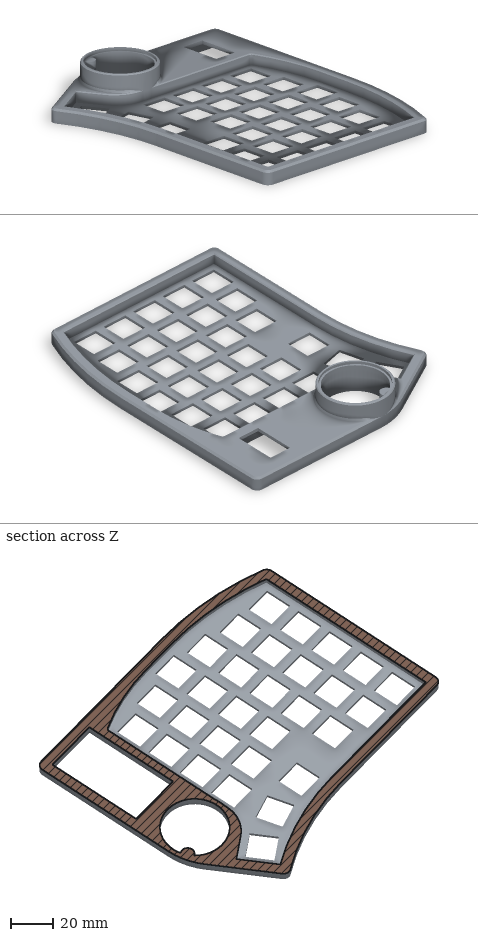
import cadquery as cq
import math

length_x = 159.47
left = -length_x / 2
right = length_x / 2
rear = 66.315
front = -52.9

plate_top = 7.3
floor_top = 1.5
overall_height = 16.3
edge_chamfer = 1.0

corner_radius = 3.5
rear_arc_radius = 159.5
front_arc_radius = 121.5
front_arc_start_x = 3.2
side_arc_radius = 36.0
slant = math.radians(60)
slant_corner_y = -23.75

key_pitch = 19.05
key_size = 14.0
column_x0 = -31.53
key_columns = [
    (43.1, 4),
    (46.35, 4),
    (50.3, 4),
    (46.35, 5),
    (41.55, 5),
    (39.15, 5),
]
thumb_keys = [
    (-6.14, -34.8, 0),
    (-27.97, -37.51, 15),
    (-48.22, -45.89, -60),
]

rim_width = 5.5
recess_chamfer = 0.5
recess_left = -41.9
recess_arc_radius = 105.0
recess_rear_corner_radius = 1.5
ring_side_radius = 18.0
ring_side_corner_y = -30.0
ring_side_slope = math.radians(30)

window_x = -59.4
window_y = 42.7
window_length = 22.5
window_width = 12.5

bay_roof = 1.8
bay_right = -46.3
bay_front = 10.0

ring_outer_diameter = 38.0
ring_bore_diameter = 33.0
ring_seat_diameter = 35.1
ring_seat_depth = 1.5
ring_x = -60.7
ring_y = -14.9
ring_top_chamfer = 0.5
ring_foot = 1.0
lug_x = -74.9
lug_y = -21.9
lug_radius = 3.4
lug_height = overall_height - ring_seat_depth

column_boundary_left = column_x0 + 1.5 * key_pitch
column_boundary_right = column_x0 + 2.5 * key_pitch


def arc_y(tangent_x, tangent_y, radius, x):
    """Y at x on an arc that leaves a horizontal line at the tangent point and bends downward."""
    return tangent_y - radius + math.sqrt(radius**2 - (x - tangent_x) ** 2)


def slant_front_corner(inset):
    """Point where the slanted side meets the front arc, both moved inward by inset."""
    base_x = left + inset / math.sin(slant)
    centre_y = front - front_arc_radius
    radius = front_arc_radius + inset
    dx = base_x - front_arc_start_x
    dy = slant_corner_y - centre_y
    half_b = dx * math.cos(slant) - dy * math.sin(slant)
    c = dx**2 + dy**2 - radius**2
    t = -half_b - math.sqrt(half_b**2 - c)
    return base_x + t * math.cos(slant), slant_corner_y - t * math.sin(slant)


def round_corner(body, x, y, radius):
    """Rounds the vertical edge of body that stands at (x, y)."""
    return body.edges("|Z").edges(cq.NearestToPointSelector((x, y, 0))).fillet(radius)


def outline_body(height):
    rear_right_y = arc_y(column_boundary_right, rear, rear_arc_radius, right)
    rear_middle_x = (column_boundary_right + right) / 2
    rear_middle = (rear_middle_x, arc_y(column_boundary_right, rear, rear_arc_radius, rear_middle_x))
    slant_x, slant_y = slant_front_corner(0)
    front_middle_x = (slant_x + front_arc_start_x) / 2
    front_middle = (front_middle_x, arc_y(front_arc_start_x, front, front_arc_radius, front_middle_x))
    body = (
        cq.Workplane("XY")
        .moveTo(left, rear)
        .lineTo(column_boundary_right, rear)
        .threePointArc(rear_middle, (right, rear_right_y))
        .lineTo(right, front)
        .lineTo(front_arc_start_x, front)
        .threePointArc(front_middle, (slant_x, slant_y))
        .lineTo(left, slant_corner_y)
        .close()
        .extrude(height)
    )
    body = round_corner(body, left, slant_corner_y, side_arc_radius)
    for x, y in [(left, rear), (right, rear_right_y), (right, front), (slant_x, slant_y)]:
        body = round_corner(body, x, y, corner_radius)
    return body


def recess_body(height):
    wall_right = right - rim_width
    wall_rear = rear - rim_width
    wall_front = front + rim_width
    rear_radius = rear_arc_radius - rim_width
    front_radius = front_arc_radius + rim_width

    rear_right_y = arc_y(column_boundary_right, wall_rear, rear_radius, wall_right)
    rear_middle_x = (column_boundary_right + wall_right) / 2
    rear_middle = (rear_middle_x, arc_y(column_boundary_right, wall_rear, rear_radius, rear_middle_x))

    slant_x, slant_y = slant_front_corner(rim_width)
    front_middle_x = (slant_x + front_arc_start_x) / 2
    front_middle = (front_middle_x, arc_y(front_arc_start_x, wall_front, front_radius, front_middle_x))

    slant_base_x = left + rim_width / math.sin(slant)
    rise = math.tan(ring_side_slope)
    fall = math.tan(slant)
    thumb_x = (slant_corner_y - ring_side_corner_y + fall * slant_base_x + rise * recess_left) / (rise + fall)
    thumb_y = ring_side_corner_y + rise * (thumb_x - recess_left)

    rear_left_y = arc_y(column_boundary_left, wall_rear, recess_arc_radius, recess_left)
    left_middle_x = (recess_left + column_boundary_left) / 2
    left_middle = (left_middle_x, arc_y(column_boundary_left, wall_rear, recess_arc_radius, left_middle_x))

    body = (
        cq.Workplane("XY")
        .workplane(offset=floor_top)
        .moveTo(column_boundary_left, wall_rear)
        .lineTo(column_boundary_right, wall_rear)
        .threePointArc(rear_middle, (wall_right, rear_right_y))
        .lineTo(wall_right, wall_front)
        .lineTo(front_arc_start_x, wall_front)
        .threePointArc(front_middle, (slant_x, slant_y))
        .lineTo(thumb_x, thumb_y)
        .lineTo(recess_left, ring_side_corner_y)
        .lineTo(recess_left, rear_left_y)
        .threePointArc(left_middle, (column_boundary_left, wall_rear))
        .close()
        .extrude(height - floor_top)
    )
    body = round_corner(body, recess_left, ring_side_corner_y, ring_side_radius)
    return round_corner(body, recess_left, rear_left_y, recess_rear_corner_radius)


def recessed_plate(extra_height=0):
    """Plate with its recess. Extra height continues the sloping edges upward in the same planes."""
    height = plate_top + extra_height
    plate = outline_body(height).faces(">Z").edges().chamfer(edge_chamfer + extra_height)
    plate = plate.cut(recess_body(height))
    recess_edges = plate.faces(">Z").val().innerWires()[0].Edges()
    return plate.newObject(recess_edges).chamfer(recess_chamfer + extra_height)


def key_openings():
    openings = cq.Workplane("XY")
    for column, (rear_key_y, count) in enumerate(key_columns):
        x = column_x0 + column * key_pitch
        for row in range(count):
            y = rear_key_y - row * key_pitch
            openings = openings.add(key_opening(x, y, 0))
    for x, y, angle in thumb_keys:
        openings = openings.add(key_opening(x, y, angle))
    return openings.combine()


def key_opening(x, y, angle):
    cutter = cq.Workplane("XY").rect(key_size, key_size).extrude(plate_top)
    return cutter.rotate((0, 0, 0), (0, 0, 1), angle).translate((x, y, 0))


def display_window():
    return cq.Workplane("XY").center(window_x, window_y).rect(window_length, window_width).extrude(plate_top)


def display_bay():
    bay_left = left + rim_width
    bay_rear = rear - rim_width
    return (
        cq.Workplane("XY")
        .moveTo(bay_left, bay_front)
        .lineTo(bay_right, bay_front)
        .lineTo(bay_right, bay_rear)
        .lineTo(bay_left, bay_rear)
        .close()
        .extrude(plate_top - bay_roof)
    )


def ring_cylinder(diameter, height):
    return cq.Workplane("XY").center(ring_x, ring_y).circle(diameter / 2).extrude(height)


def ring_foot_cone():
    """Sloping foot around the ring, kept inside the sloping edges of the plate."""
    foot_diameter = ring_outer_diameter + 2 * ring_foot
    cone = ring_cylinder(foot_diameter, plate_top + ring_foot).faces(">Z").edges().chamfer(ring_foot)
    return cone.intersect(recessed_plate(ring_foot))


def lug():
    post = cq.Workplane("XY").center(lug_x, lug_y).circle(lug_radius).extrude(lug_height)
    return post.intersect(ring_cylinder(ring_outer_diameter, lug_height))


ring = ring_cylinder(ring_outer_diameter, overall_height).faces(">Z").edges().chamfer(ring_top_chamfer)
result = recessed_plate().cut(key_openings()).cut(display_window()).cut(display_bay())
result = result.union(ring).union(ring_foot_cone())
result = result.cut(ring_cylinder(ring_bore_diameter, overall_height))
seat_floor = overall_height - ring_seat_depth
result = result.cut(ring_cylinder(ring_seat_diameter, ring_seat_depth).translate((0, 0, seat_floor)))
result = result.union(lug())